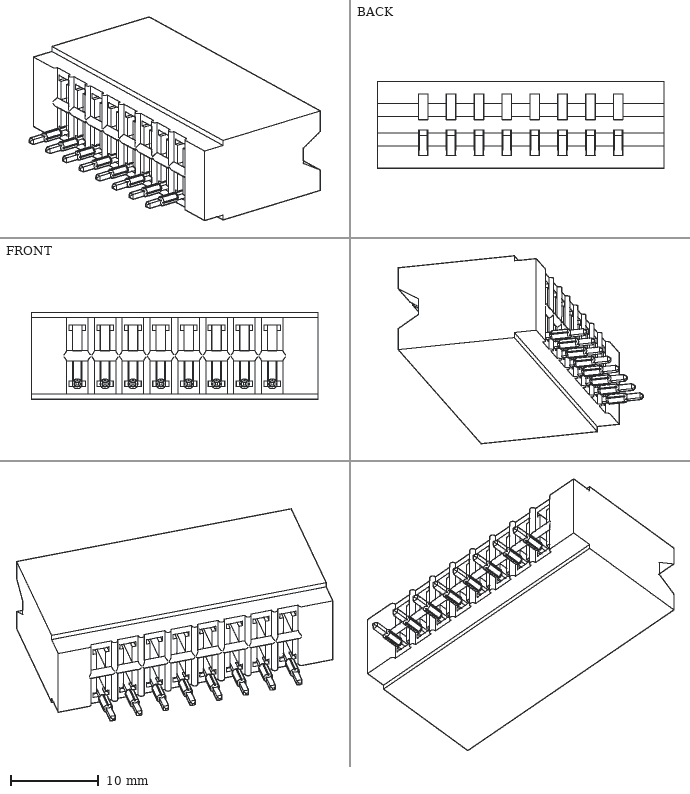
import cadquery as cq
import math

housing_width = 32.65
housing_depth = 16.42
housing_height = 9.92
step_height = 0.62
step_depth = 2.6
neck_height = housing_height - 2 * step_height

entry_depth = 2.4
entry_mouth_half = 2.4
entry_floor_half = 0.95

contact_count = 8
contact_row_width = 25.35
pitch = contact_row_width / contact_count
first_contact_x = -(contact_count - 1) / 2 * pitch

recess_depth = 0.42
recess_width = contact_row_width
rib_radius = 0.35
bar_half_height = 0.6

slot_width = 1.05
slot_outer_z = 3.5
slot_inner_z = bar_half_height
wing_width = 1.9
wing_height = 0.62
wing_pocket_end = 3.92

contact_z = -(slot_outer_z - wing_height / 2)
plate_start = 1.0
plate_width = 1.83
leaf_width = 0.95
leaf_lower_bend_z = -2.25
leaf_upper_bend_z = -0.98
leaf_end_angle = 45.0
leaf_middle_angle = 50.0

tail_size = wing_height
tail_length = 4.4
tail_tip_size = 0.25
tail_tip_length = 0.3
collar_radius = 0.55
collar_start = 0.4
collar_length = 1.9
collar_taper_length = 0.33
collar_taper_radius = tail_size / 2
collar_groove_width = 0.1
collar_groove_depth = 0.1


def contact_x(index):
    return first_contact_x + index * pitch


def box_between(width, y_start, y_end, z_low, z_high):
    """Box centred on x = 0 that spans the given Y and Z ranges."""
    return cq.Workplane("XY").box(
        width, y_end - y_start, z_high - z_low, centered=(True, False, False)
    ).translate((0, y_start, z_low))


def make_block():
    """Stepped block with the card entry, drawn as its YZ section and extruded along X."""
    half_height = housing_height / 2
    half_neck = neck_height / 2
    section = [
        (0, -half_neck),
        (step_depth, -half_neck),
        (step_depth, -half_height),
        (housing_depth, -half_height),
        (housing_depth, -entry_mouth_half),
        (housing_depth - entry_depth, -entry_floor_half),
        (housing_depth - entry_depth, entry_floor_half),
        (housing_depth, entry_mouth_half),
        (housing_depth, half_height),
        (step_depth, half_height),
        (step_depth, half_neck),
        (0, half_neck),
    ]
    return cq.Workplane("YZ").polyline(section).close().extrude(housing_width / 2, both=True)


def make_rib(x):
    """Vertical divider with a half-round nose that reaches the plane y = 0."""
    return (
        cq.Workplane("XY")
        .moveTo(x - rib_radius, recess_depth)
        .lineTo(x - rib_radius, rib_radius)
        .threePointArc((x, 0), (x + rib_radius, rib_radius))
        .lineTo(x + rib_radius, recess_depth)
        .close()
        .extrude(neck_height / 2, both=True)
    )


def make_cross_bar():
    """Bar of round section that crosses the recess at mid-height."""
    return (
        cq.Workplane("YZ")
        .moveTo(recess_depth, -bar_half_height)
        .threePointArc((0, 0), (recess_depth, bar_half_height))
        .close()
        .extrude(recess_width / 2, both=True)
    )


def make_cavity(x):
    """Upper and lower through slots of one contact position, with their wing pockets."""
    upper_slot = box_between(slot_width, recess_depth, housing_depth, slot_inner_z, slot_outer_z)
    upper_wing = box_between(
        wing_width, recess_depth, wing_pocket_end, slot_outer_z - wing_height, slot_outer_z
    )
    upper = upper_slot.union(upper_wing)
    return upper.union(upper.mirror("XY")).translate((x, 0, 0))


def make_housing():
    recess = box_between(recess_width, 0, recess_depth, -neck_height / 2, neck_height / 2)
    housing = make_block().cut(recess)
    for index in range(contact_count + 1):
        housing = housing.union(make_rib(contact_x(index) - pitch / 2))
    housing = housing.union(make_cross_bar())
    for index in range(contact_count):
        housing = housing.cut(make_cavity(contact_x(index)))
    return housing


def make_leaf():
    """Spring leaf that rises from the end of the base plate to the roof of the lower slot."""
    top_z = [contact_z + wing_height / 2, leaf_lower_bend_z, leaf_upper_bend_z, -slot_inner_z]
    angles = [leaf_end_angle, leaf_middle_angle, leaf_end_angle]
    top_edge = [(wing_pocket_end, top_z[0])]
    for low, high, angle in zip(top_z, top_z[1:], angles):
        run = (high - low) / math.tan(math.radians(angle))
        top_edge.append((top_edge[-1][0] + run, high))
    bottom_edge = [(y, z - wing_height) for y, z in reversed(top_edge)]
    return cq.Workplane("YZ").polyline(top_edge + bottom_edge).close().extrude(leaf_width / 2, both=True)


def make_tail():
    """Square tail from the base plate outwards, ending in a pyramid-shaped tip."""
    half_tail = tail_size / 2
    shoulder_y = -(tail_length - tail_tip_length)
    tail = box_between(tail_size, shoulder_y, plate_start, -half_tail, half_tail)
    tip = (
        cq.Workplane("XZ", origin=(0, shoulder_y, 0))
        .rect(tail_size, tail_size)
        .workplane(offset=tail_tip_length)
        .rect(tail_tip_size, tail_tip_size)
        .loft(ruled=True)
    )
    return tail.union(tip)


def make_collar():
    """Round collar with tapered ends and four lengthwise grooves."""
    body_end = collar_start + collar_length
    profile = [
        (0, -(collar_start - collar_taper_length)),
        (collar_taper_radius, -(collar_start - collar_taper_length)),
        (collar_radius, -collar_start),
        (collar_radius, -body_end),
        (collar_taper_radius, -(body_end + collar_taper_length)),
        (0, -(body_end + collar_taper_length)),
    ]
    collar = cq.Workplane("XY").polyline(profile).close().revolve(360, (0, 0, 0), (0, 1, 0))
    groove_floor = collar_radius - collar_groove_depth
    groove = box_between(
        collar_groove_width,
        -(body_end + collar_taper_length),
        collar_taper_length - collar_start,
        groove_floor,
        collar_radius,
    )
    for quarter in range(4):
        collar = collar.cut(groove.rotate((0, 0, 0), (0, 1, 0), 90 * quarter))
    return collar


def make_contact(x):
    plate = box_between(
        plate_width, plate_start, wing_pocket_end, contact_z - wing_height / 2, contact_z + wing_height / 2
    )
    stem = make_tail().union(make_collar()).translate((0, 0, contact_z))
    return plate.union(make_leaf()).union(stem).translate((x, 0, 0))


housing = make_housing()
contacts = [make_contact(contact_x(index)) for index in range(contact_count)]

result = cq.Compound.makeCompound([housing.val(), *[contact.val() for contact in contacts]])